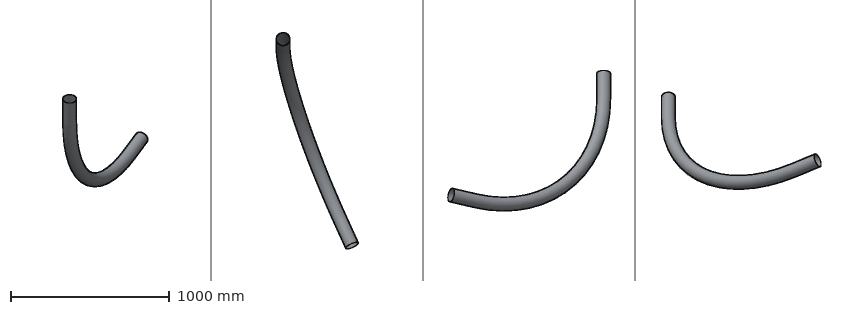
import cadquery as cq
import math

outer_diameter = 88.9
inner_diameter = 82.8
bend_radius = 914.4
tangent_length = 177.8

leg_reach = bend_radius + tangent_length
mid_bend_offset = bend_radius * (1 - math.sqrt(0.5))

centreline = (
    cq.Workplane("YZ")
    .moveTo(0, leg_reach)
    .lineTo(0, bend_radius)
    .threePointArc((mid_bend_offset, mid_bend_offset), (bend_radius, 0))
    .lineTo(leg_reach, 0)
)

result = (
    cq.Workplane("XY", origin=(0, 0, leg_reach))
    .circle(outer_diameter / 2)
    .circle(inner_diameter / 2)
    .sweep(centreline)
)